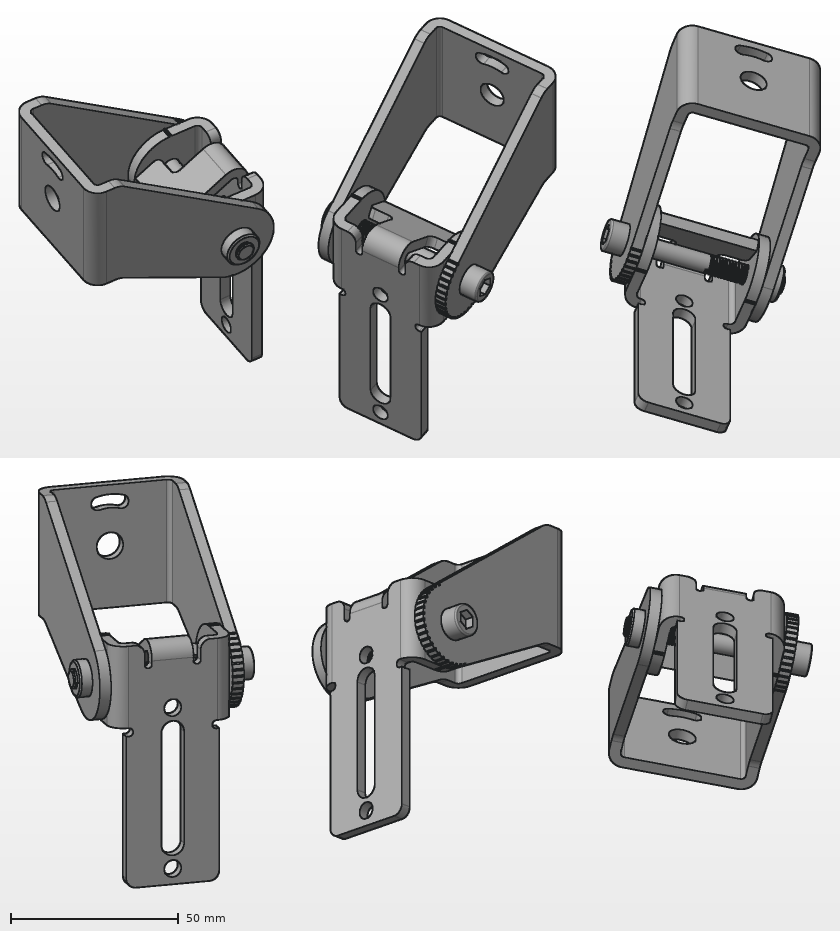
import cadquery as cq
import math


sheet = 3.5
screw_diameter = 6.0
pivot_hole_diameter = 6.2
overall_height = 107.1

outer_width = 45.2
plate_front_y = -50.9
plate_top_z = 44.5
plate_height = 38.2
plate_bottom_z = plate_top_z - plate_height
outer_bend_radius = 4.9
arm_radius = 12.7
arm_knee_y = -41.1
arm_knee_radius = 5.8
mount_hole_diameter = 8.2
mount_hole_z = 25.6
arc_slot_radius = 13.9
arc_slot_width = 4.2
arc_slot_half_angle = 15.6

scale_first_angle = -117
scale_last_angle = 63
scale_step = 9
scale_notch_width = 0.5
scale_notch_depth = 0.5

inner_width = outer_width - 2 * sheet
inner_half_height = arm_radius
wall_back_y = 13.5
inner_bend_radius = 5.1
flange_inner_x = inner_width / 2 - sheet
pointer_width = 1.0
pointer_tip_width = 0.3
pointer_height = 0.3

tongue_width = 29.1
tongue_bottom_z = plate_top_z - overall_height
tongue_corner_radius = 3.1
tongue_notch_height = 2.6
tongue_notch_depth = 2.1
tongue_hole_diameter = 5.2
tongue_upper_hole_z = -7.6
tongue_hole_spacing = 50.0
tongue_slot_width = 7.1
tongue_slot_length = 41.8

tab_slope = 30.0
tab_length = 21.0
tab_neck_width = 13.1
tab_neck_length = 11.6
tab_corner_radius = 2.1
tab_bend_inner_radius = inner_bend_radius - sheet
tab_bend_y = wall_back_y - inner_bend_radius
tab_bend_z = inner_half_height - inner_bend_radius
relief_width = 2.2
relief_bottom_z = 5.4
shoulder_radius = 3.0

head_diameter = 10.0
head_length = 5.9
head_edge = 0.5
socket_corner_diameter = 6.1
socket_depth = 3.0
socket_turn = 90
screw_tip_x = 27.5
screw_tip_edge = 0.4
thread_start_x = 3.4
thread_length = 23.1
thread_pitch = 1.0
thread_depth = 0.5
thread_groove_width = 0.9
thread_clearance = 0.1

nut_diameter = 11.3
nut_length = 3.9
nut_edge = 0.5


def x_cylinder(diameter, x_from, x_to):
    """Cylinder on the hinge axis."""
    return cq.Workplane("YZ").workplane(offset=x_from).circle(diameter / 2).extrude(x_to - x_from)


def y_cutter(profile):
    """Extrude a profile drawn on the XZ plane right through the part in Y."""
    return profile.extrude(overall_height, both=True)


def u_channel(width, web_y, free_y, z_from, z_to, bend_radius):
    """Bent U of sheet: web at web_y, two legs reaching to free_y, standing from z_from to z_to."""
    direction = math.copysign(1, free_y - web_y)
    height = z_to - z_from
    outline_depth = abs(free_y - web_y)

    def block(block_width, start_y, depth, radius):
        centre_y = start_y + direction * depth / 2
        box = cq.Workplane("XY").box(block_width, depth, height).translate((0, centre_y, z_from + height / 2))
        return box.edges("|Z and <Y" if direction > 0 else "|Z and >Y").fillet(radius)

    outside = block(width, web_y, outline_depth, bend_radius)
    inside = block(width - 2 * sheet, web_y + direction * sheet, outline_depth, bend_radius - sheet)
    return outside.cut(inside)



def tangent_point(knee_y, knee_z, side):
    """Point where a line from the knee touches the arm circle; side is +1 above, -1 below."""
    distance = math.hypot(knee_y, knee_z)
    angle = math.atan2(knee_z, knee_y) - side * math.acos(arm_radius / distance)
    return arm_radius * math.cos(angle), arm_radius * math.sin(angle)


def arm_profile():
    profile = (
        cq.Workplane("YZ")
        .moveTo(plate_front_y, plate_bottom_z)
        .lineTo(arm_knee_y, plate_bottom_z)
        .lineTo(*tangent_point(arm_knee_y, plate_bottom_z, -1))
        .threePointArc((arm_radius, 0), tangent_point(arm_knee_y, plate_top_z, 1))
        .lineTo(arm_knee_y, plate_top_z)
        .lineTo(plate_front_y, plate_top_z)
        .close()
        .extrude(outer_width, both=True)
    )
    for knee_z in (plate_bottom_z, plate_top_z):
        knee = cq.selectors.NearestToPointSelector((0, arm_knee_y, knee_z))
        profile = profile.edges("|X").edges(knee).fillet(arm_knee_radius)
    return profile


def arc_slot():
    """Curved slot above the mounting hole, centred on that hole."""
    half_angle = math.radians(arc_slot_half_angle)
    inner_radius = arc_slot_radius - arc_slot_width / 2
    outer_radius = arc_slot_radius + arc_slot_width / 2

    def point(radius, angle):
        return radius * math.sin(angle), mount_hole_z + radius * math.cos(angle)

    def end_cap(angle):
        x, z = point(arc_slot_radius, angle)
        side = math.copysign(arc_slot_width / 2, angle)
        return x + side * math.cos(angle), z - side * math.sin(angle)

    return y_cutter(
        cq.Workplane("XZ")
        .moveTo(*point(inner_radius, -half_angle))
        .threePointArc(point(inner_radius, 0), point(inner_radius, half_angle))
        .threePointArc(end_cap(half_angle), point(outer_radius, half_angle))
        .threePointArc(point(outer_radius, 0), point(outer_radius, -half_angle))
        .threePointArc(end_cap(-half_angle), point(inner_radius, -half_angle))
        .close()
    )


def scale_notches():
    """Radial notches in the rim of the -X arm."""
    notch = cq.Workplane("XY").box(sheet, 2 * scale_notch_depth, scale_notch_width)
    notch = notch.translate(((sheet - outer_width) / 2, arm_radius, 0))
    angles = range(scale_first_angle, scale_last_angle + 1, scale_step)
    return [notch.rotate((0, 0, 0), (1, 0, 0), angle) for angle in angles]


def make_outer_bracket():
    bracket = u_channel(outer_width, plate_front_y, arm_radius, -arm_radius, plate_top_z, outer_bend_radius)
    bracket = bracket.intersect(arm_profile())
    mount_hole = y_cutter(cq.Workplane("XZ").center(0, mount_hole_z).circle(mount_hole_diameter / 2))
    bracket = bracket.cut(mount_hole).cut(arc_slot())
    bracket = bracket.cut(x_cylinder(pivot_hole_diameter, -outer_width, outer_width))
    for notch in scale_notches():
        bracket = bracket.cut(notch)
    return bracket



def flange_profile():
    """Side outline of the flanges: half round in front of the axis, square behind it."""
    square = cq.Workplane("XY").box(inner_width, wall_back_y, 2 * inner_half_height)
    square = square.translate((0, wall_back_y / 2, 0))
    return square.union(x_cylinder(2 * inner_half_height, -inner_width / 2, inner_width / 2))


def pointer_ribs():
    """Small pointed ribs above and below the hinge axis, against which the scale is read."""
    rib = (
        cq.Workplane("YZ")
        .workplane(offset=flange_inner_x)
        .moveTo(-pointer_width / 2, inner_half_height - pointer_height)
        .lineTo(-pointer_width / 2, inner_half_height)
        .lineTo(-pointer_tip_width / 2, inner_half_height + pointer_height)
        .lineTo(pointer_tip_width / 2, inner_half_height + pointer_height)
        .lineTo(pointer_width / 2, inner_half_height)
        .lineTo(pointer_width / 2, inner_half_height - pointer_height)
        .close()
        .extrude(sheet)
    )
    right_pair = rib.union(rib.mirror("XY"))
    return right_pair.union(right_pair.mirror("YZ"))


def make_tongue():
    height = -inner_half_height - tongue_bottom_z
    tongue = cq.Workplane("XY").box(tongue_width, sheet, height)
    tongue = tongue.edges("|Y and <Z").fillet(tongue_corner_radius)
    return tongue.translate((0, wall_back_y - sheet / 2, tongue_bottom_z + height / 2))


def tongue_cuts():
    """Two round holes, the long slot between them and the notches where the tongue leaves the wall."""
    hole_centres = [(0, tongue_upper_hole_z), (0, tongue_upper_hole_z - tongue_hole_spacing)]
    holes = cq.Workplane("XZ").pushPoints(hole_centres).circle(tongue_hole_diameter / 2)

    slot_z = tongue_upper_hole_z - tongue_hole_spacing / 2
    slot = cq.Workplane("XZ").center(0, slot_z).slot2D(tongue_slot_length, tongue_slot_width, 90)

    notch_x = tongue_width / 2
    notch_z = -inner_half_height - tongue_notch_height / 2
    notches = (
        cq.Workplane("XZ")
        .pushPoints([(-notch_x, notch_z), (notch_x, notch_z)])
        .slot2D(2 * tongue_notch_depth, tongue_notch_height)
    )
    return y_cutter(holes).union(y_cutter(slot)).union(y_cutter(notches))


def wall_reliefs():
    """Openings in the top of the wall beside the tab neck, with rounded shoulders and round bottoms."""
    neck_x = tab_neck_width / 2
    shoulder_x = neck_x + relief_width
    bottom_centre_z = relief_bottom_z + relief_width / 2
    arc_offset = shoulder_radius * (1 - math.sqrt(0.5))
    relief = (
        cq.Workplane("XZ", origin=(0, wall_back_y, 0))
        .moveTo(neck_x, inner_half_height)
        .lineTo(neck_x, bottom_centre_z)
        .threePointArc((neck_x + relief_width / 2, relief_bottom_z), (shoulder_x, bottom_centre_z))
        .lineTo(shoulder_x, inner_half_height - shoulder_radius)
        .threePointArc(
            (shoulder_x + arc_offset, inner_half_height - arc_offset),
            (shoulder_x + shoulder_radius, inner_half_height),
        )
        .close()
        .extrude(sheet)
    )
    return relief.union(relief.mirror("YZ"))


def bend_point(radius, angle):
    """Point on the tab bend; angle in degrees from +Y towards +Z."""
    turn = math.radians(angle)
    return tab_bend_y + radius * math.cos(turn), tab_bend_z + radius * math.sin(turn)


def make_tab_bend():
    """Curled strip that joins the wall to the sloping tab."""
    end_angle = 90 + tab_slope
    return (
        cq.Workplane("YZ")
        .moveTo(*bend_point(inner_bend_radius, 0))
        .threePointArc(
            bend_point(inner_bend_radius, end_angle / 2), bend_point(inner_bend_radius, end_angle)
        )
        .lineTo(*bend_point(tab_bend_inner_radius, end_angle))
        .threePointArc(
            bend_point(tab_bend_inner_radius, end_angle / 2), bend_point(tab_bend_inner_radius, 0)
        )
        .close()
        .extrude(tab_neck_width / 2, both=True)
    )


def make_tab_plate():
    """Flat sloping part of the tab: a narrow neck that widens to fill the space between the flanges."""
    wide_length = tab_length - tab_neck_length
    neck = cq.Workplane("XY").box(tab_neck_width, tab_length, sheet)
    neck = neck.translate((0, -tab_length / 2, -sheet / 2))
    wide = cq.Workplane("XY").box(2 * flange_inner_x, wide_length, sheet)
    wide = wide.edges("|Z and >Y").fillet(tab_corner_radius)
    wide = wide.translate((0, -tab_neck_length - wide_length / 2, -sheet / 2))
    plate = neck.union(wide)
    for side in (-1, 1):
        inside_corner = (side * tab_neck_width / 2, -tab_neck_length, -sheet / 2)
        corner = cq.selectors.NearestToPointSelector(inside_corner)
        plate = plate.edges("|Z").edges(corner).fillet(tab_corner_radius)
    start_y, start_z = bend_point(inner_bend_radius, 90 + tab_slope)
    return plate.rotate((0, 0, 0), (1, 0, 0), tab_slope).translate((0, start_y, start_z))


def make_inner_bracket():
    bracket = u_channel(
        inner_width, wall_back_y, -inner_half_height, -inner_half_height, inner_half_height, inner_bend_radius
    )
    bracket = bracket.intersect(flange_profile())
    bracket = bracket.cut(wall_reliefs())
    above_neck = cq.Workplane("XY").box(tab_neck_width, sheet, inner_bend_radius)
    above_neck = above_neck.translate((0, wall_back_y - sheet / 2, tab_bend_z + inner_bend_radius / 2))
    bracket = bracket.cut(above_neck)
    bracket = bracket.union(make_tab_bend()).union(make_tab_plate())
    bracket = bracket.union(pointer_ribs()).union(make_tongue())
    bracket = bracket.cut(tongue_cuts())
    return bracket.cut(x_cylinder(pivot_hole_diameter, -inner_width, inner_width))



def thread_groove():
    """Helical V-groove of the screw thread, ending just short of the tip chamfer."""
    crest = screw_diameter / 2
    helix = cq.Wire.makeHelix(thread_pitch, thread_length, crest)
    groove = (
        cq.Workplane("XZ")
        .moveTo(crest - thread_depth, 0)
        .lineTo(crest + thread_clearance, thread_groove_width / 2)
        .lineTo(crest + thread_clearance, -thread_groove_width / 2)
        .close()
        .sweep(cq.Workplane(helix), isFrenet=True)
    )
    return groove.rotate((0, 0, 0), (0, 1, 0), 90).translate((thread_start_x, 0, 0))


def make_screw():
    head_end_x = -outer_width / 2 - head_length
    head = x_cylinder(head_diameter, head_end_x, -outer_width / 2).faces("<X").edges().fillet(head_edge)
    shank = x_cylinder(screw_diameter, -outer_width / 2, screw_tip_x).faces(">X").chamfer(screw_tip_edge)
    socket = (
        cq.Workplane("YZ")
        .workplane(offset=head_end_x)
        .polygon(6, socket_corner_diameter)
        .extrude(socket_depth)
        .rotate((0, 0, 0), (1, 0, 0), socket_turn)
    )
    return head.union(shank).cut(socket).cut(thread_groove())


def make_nut():
    start_x = outer_width / 2
    nut = x_cylinder(nut_diameter, start_x, start_x + nut_length).faces(">X").edges().chamfer(nut_edge)
    return nut.cut(x_cylinder(screw_diameter, start_x, start_x + nut_length))


outer_bracket = make_outer_bracket()
inner_bracket = make_inner_bracket()
screw = make_screw()
nut = make_nut()

result = cq.Compound.makeCompound([
    outer_bracket.solids().val(),
    inner_bracket.solids().val(),
    screw.solids().val(),
    nut.solids().val(),
])